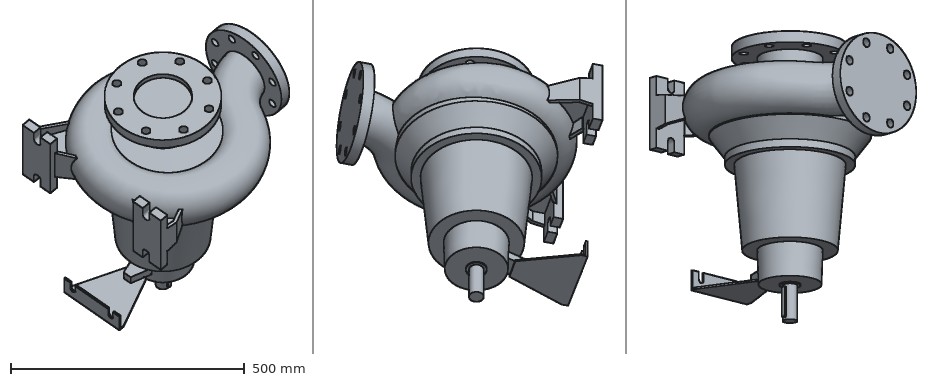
import cadquery as cq
import math


TOP_Z = 139.5
SHAFT_END_Z = -470.5
DISCHARGE_FACE_Y = 280.0
FOOT_FACE_Y = -225.0

FLANGE_THICKNESS = 25.0
BOLT_COUNT = 8
BOLT_HOLE_DIAMETER = 19.0
SUCTION_FLANGE_DIAMETER = 250.0
SUCTION_BOLT_CIRCLE = 210.0
SUCTION_BORE_DIAMETER = 125.0
SUCTION_BORE_DEPTH = FLANGE_THICKNESS / 2
DISCHARGE_FLANGE_DIAMETER = 220.0
DISCHARGE_BOLT_CIRCLE = 180.0

PIPE_RADIUS = 57.5
RING_RADIUS = 161.5
RING_OFFSET_X = 14.5
TONGUE_ARC_RADIUS = 151.0
TONGUE_PIPE_RADIUS = 46.0
TONGUE_END_ANGLE = 70

NECK_RADIUS = 70.0
SHOULDER_TOP_Z = 49.5
SHOULDER_EDGE_RADIUS = 146.5
SHOULDER_EDGE_Z = 33.0
CASING_RADIUS = 174.0
CASING_BOTTOM_Z = -60.0
COLLAR_RADIUS = 139.5
COLLAR_TOP_Z = -105.0
COLLAR_BOTTOM_Z = -122.5
HOUSING_TOP_RADIUS = 119.5
HOUSING_BOTTOM_RADIUS = 102.5
HOUSING_BOTTOM_Z = -313.0
BEARING_TOP_RADIUS = 70.0
BEARING_BOTTOM_RADIUS = 68.0
BEARING_BOTTOM_Z = -388.5
SEAL_RADIUS = 22.5
SEAL_BOTTOM_Z = -391.0
SHAFT_RADIUS = 16.0

KEY_WIDTH = 10.0
KEY_REACH = 20.0
KEY_TOP_Z = -396.0
KEY_BOTTOM_Z = -465.0

FOOT_OUTER_X = 200.5
FOOT_WIDTH = 80.5
FOOT_HEIGHT = 160.0
FOOT_THICKNESS = 21.5
FOOT_SLOT_X = 158.0
FOOT_SLOT_WIDTH = 19.0
FOOT_SLOT_DEPTH = 30.0

WEB_THICKNESS = 8.0
OUTER_WEB_BEND_Y = -175.0
OUTER_WEB_ANGLE = 26
OUTER_WEB_LENGTH = 79.0
INNER_WEB_ANGLE = 30
INNER_WEB_START_Y = -211.0
INNER_WEB_LENGTH = 58.0
WEB_HALF_HEIGHT = 37.0
WEB_TAPER_ANGLE = 10

SUPPORT_SHEET = 4.0
SUPPORT_WIDTH = 160.5
SUPPORT_TOP_Z = -325.0
SUPPORT_BOTTOM_Z = -369.5
SUPPORT_SLOT_X = 55.0
SUPPORT_SLOT_WIDTH = 14.0
SUPPORT_SLOT_DEPTH = 24.0
SUPPORT_CORNER_Y = -211.0
SUPPORT_TAIL_Y = -80.0
SUPPORT_TAIL_WIDTH = 50.0
LUG_HEIGHT = 19.5
LUG_ROOT_Y = -63.5
LUG_ROOT_WIDTH = 52.5
LUG_TIP_Y = -113.0
LUG_TIP_WIDTH = 20.0


def along(point, angle, distance):
    """Point reached from another by going a distance at an angle in degrees."""
    turn = math.radians(angle)
    return (point[0] + distance * math.cos(turn), point[1] + distance * math.sin(turn))


def prism(points, bottom_z, height):
    """Upright prism over an outline in X and Y."""
    return cq.Workplane("XY").workplane(offset=bottom_z).polyline(points).close().extrude(height)


def flange(plane, diameter, bolt_circle):
    """Bolted disc growing from a plane, its holes straddling the plane's axes."""
    disc = cq.Workplane(plane).circle(diameter / 2).extrude(FLANGE_THICKNESS)
    holes = (
        cq.Workplane(plane)
        .polarArray(bolt_circle / 2, 180 / BOLT_COUNT, 360, BOLT_COUNT)
        .circle(BOLT_HOLE_DIAMETER / 2)
        .extrude(FLANGE_THICKNESS)
    )
    return disc.cut(holes)


def rotating_body():
    """Neck, casing, bearing housing and shaft as one turned profile."""
    profile = [
        (0, TOP_Z - FLANGE_THICKNESS),
        (NECK_RADIUS, TOP_Z - FLANGE_THICKNESS),
        (NECK_RADIUS, SHOULDER_TOP_Z),
        (SHOULDER_EDGE_RADIUS, SHOULDER_EDGE_Z),
        (SHOULDER_EDGE_RADIUS, 0),
        (CASING_RADIUS, 0),
        (CASING_RADIUS, CASING_BOTTOM_Z),
        (COLLAR_RADIUS, COLLAR_TOP_Z),
        (COLLAR_RADIUS, COLLAR_BOTTOM_Z),
        (HOUSING_TOP_RADIUS, COLLAR_BOTTOM_Z),
        (HOUSING_BOTTOM_RADIUS, HOUSING_BOTTOM_Z),
        (BEARING_TOP_RADIUS, HOUSING_BOTTOM_Z),
        (BEARING_BOTTOM_RADIUS, BEARING_BOTTOM_Z),
        (SEAL_RADIUS, BEARING_BOTTOM_Z),
        (SEAL_RADIUS, SEAL_BOTTOM_Z),
        (SHAFT_RADIUS, SEAL_BOTTOM_Z),
        (SHAFT_RADIUS, SHAFT_END_Z),
        (0, SHAFT_END_Z),
    ]
    return cq.Workplane("XZ").polyline(profile).close().revolve(360, (0, 0, 0), (0, 1, 0))


def shaft_key():
    """Round-ended key along the +X side of the shaft."""
    length = KEY_TOP_Z - KEY_BOTTOM_Z
    return (
        cq.Workplane("YZ")
        .center(0, KEY_BOTTOM_Z + length / 2)
        .slot2D(length, KEY_WIDTH, 90)
        .extrude(KEY_REACH)
    )


def ring_and_discharge():
    """Constant pipe round the ring, then bent back to leave along +Y at X = 0."""
    center = (RING_OFFSET_X, 0)
    end_y = DISCHARGE_FACE_Y
    bend_radius = (RING_OFFSET_X**2 + end_y**2 - RING_RADIUS**2) / (2 * (RING_RADIUS + RING_OFFSET_X))
    bend_center = (bend_radius, end_y)
    leave_angle = math.degrees(math.atan2(end_y, bend_radius - RING_OFFSET_X))
    start = along(center, 180, RING_RADIUS)
    leave = along(center, leave_angle, RING_RADIUS)
    bend_middle = along(bend_center, 180 + leave_angle / 2, bend_radius)
    path = (
        cq.Workplane("XY")
        .moveTo(*start)
        .threePointArc(along(center, (leave_angle - 180) / 2, RING_RADIUS), leave)
        .threePointArc(bend_middle, (0, end_y))
    )
    section = cq.Workplane("XZ").center(start[0], 0).circle(PIPE_RADIUS)
    return section.sweep(path)


def tongue():
    """Narrowing pipe that carries the ring on from its -X end into the side of the discharge."""
    center = (RING_OFFSET_X - RING_RADIUS + TONGUE_ARC_RADIUS, 0)
    start = along(center, 180, TONGUE_ARC_RADIUS)
    middle = along(center, (180 + TONGUE_END_ANGLE) / 2, TONGUE_ARC_RADIUS)
    end = along(center, TONGUE_END_ANGLE, TONGUE_ARC_RADIUS)
    path = cq.Workplane("XY").moveTo(*start).threePointArc(middle, end)
    outward = along((0, 0), TONGUE_END_ANGLE, 1)
    forward = along((0, 0), TONGUE_END_ANGLE - 90, 1)
    start_plane = cq.Plane((*start, 0), (-1, 0, 0), (0, 1, 0))
    end_plane = cq.Plane((*end, 0), (*outward, 0), (*forward, 0))
    sections = [
        cq.Workplane(start_plane).circle(PIPE_RADIUS).wire().val(),
        cq.Workplane(end_plane).circle(TONGUE_PIPE_RADIUS).wire().val(),
    ]
    return cq.Workplane(cq.Solid.sweep_multi(sections, path.val()))


def end_slot(x, width, depth, edge_z, inward, thickness):
    """Round-ended slot through a plate on the foot face, running up (+1) or down (-1) from an edge."""
    radius = width / 2
    straight = depth - radius
    plane = cq.Workplane("XZ", origin=(x, FOOT_FACE_Y + thickness, edge_z))
    channel = plane.center(0, inward * straight / 2).rect(width, straight).extrude(thickness)
    return channel.union(plane.center(0, inward * straight).circle(radius).extrude(thickness))


def foot_plate():
    """Slotted plate of the foot on the +X side."""
    plate = (
        cq.Workplane("XY")
        .box(FOOT_WIDTH, FOOT_THICKNESS, FOOT_HEIGHT)
        .translate((FOOT_OUTER_X - FOOT_WIDTH / 2, FOOT_FACE_Y + FOOT_THICKNESS / 2, 0))
    )
    for inward in (1, -1):
        edge_z = -inward * FOOT_HEIGHT / 2
        slot = end_slot(FOOT_SLOT_X, FOOT_SLOT_WIDTH, FOOT_SLOT_DEPTH, edge_z, inward, FOOT_THICKNESS)
        plate = plate.cut(slot)
    return plate


def foot_bracket():
    """Two tapered webs and the middle sheet behind the foot on the +X side."""
    back_y = FOOT_FACE_Y + FOOT_THICKNESS
    inner_x = FOOT_OUTER_X - FOOT_WIDTH

    lean = 90 + OUTER_WEB_ANGLE
    bend = (FOOT_OUTER_X, OUTER_WEB_BEND_Y)
    bend_inside = (
        FOOT_OUTER_X - WEB_THICKNESS,
        OUTER_WEB_BEND_Y - WEB_THICKNESS * math.tan(math.radians(OUTER_WEB_ANGLE / 2)),
    )
    outer_tip = along(bend, lean, OUTER_WEB_LENGTH)
    outer_tip_inside = along(outer_tip, lean + 90, WEB_THICKNESS)
    outer_web = [
        (FOOT_OUTER_X, back_y),
        bend,
        outer_tip,
        outer_tip_inside,
        bend_inside,
        (FOOT_OUTER_X - WEB_THICKNESS, back_y),
    ]

    lean = 180 - INNER_WEB_ANGLE
    front = (inner_x, INNER_WEB_START_Y)
    front_tip = along(front, lean, INNER_WEB_LENGTH)
    back_tip = along(front_tip, lean - 90, WEB_THICKNESS)
    back = (inner_x, INNER_WEB_START_Y + WEB_THICKNESS / math.cos(math.radians(INNER_WEB_ANGLE)))
    inner_web = [front, front_tip, back_tip, back]

    bottom_z = -FOOT_HEIGHT / 2
    webs = prism(outer_web, bottom_z, FOOT_HEIGHT).union(prism(inner_web, bottom_z, FOOT_HEIGHT))

    slope = math.tan(math.radians(WEB_TAPER_ANGLE))
    end_half_height = WEB_HALF_HEIGHT - slope * abs(back_y)
    front_half_height = WEB_HALF_HEIGHT + slope * FOOT_THICKNESS
    taper = (
        cq.Workplane("YZ")
        .polyline(
            [
                (FOOT_FACE_Y, -front_half_height),
                (0, -end_half_height),
                (0, end_half_height),
                (FOOT_FACE_Y, front_half_height),
            ]
        )
        .close()
        .extrude(FOOT_OUTER_X)
    )
    middle_sheet = [
        (FOOT_OUTER_X - WEB_THICKNESS, back_y),
        bend_inside,
        outer_tip_inside,
        back_tip,
        back,
        (inner_x, back_y),
    ]
    return webs.intersect(taper).union(prism(middle_sheet, -WEB_THICKNESS / 2, WEB_THICKNESS))


def symmetric_trapezoid(y_a, width_a, y_b, width_b):
    """Outline symmetric about X = 0 between two widths."""
    return [(-width_a / 2, y_a), (width_a / 2, y_a), (width_b / 2, y_b), (-width_b / 2, y_b)]


def rear_support():
    """Lug on the bearing housing carrying a bent sheet with a slotted lip."""
    height = SUPPORT_TOP_Z - SUPPORT_BOTTOM_Z
    lip = (
        cq.Workplane("XY")
        .box(SUPPORT_WIDTH, SUPPORT_SHEET, height, centered=(True, False, False))
        .translate((0, FOOT_FACE_Y, SUPPORT_BOTTOM_Z))
    )
    for x in (SUPPORT_SLOT_X, -SUPPORT_SLOT_X):
        lip = lip.cut(end_slot(x, SUPPORT_SLOT_WIDTH, SUPPORT_SLOT_DEPTH, SUPPORT_TOP_Z, -1, SUPPORT_SHEET))
    edge = symmetric_trapezoid(FOOT_FACE_Y, SUPPORT_WIDTH, SUPPORT_CORNER_Y, SUPPORT_WIDTH)
    tail = symmetric_trapezoid(SUPPORT_CORNER_Y, SUPPORT_WIDTH, SUPPORT_TAIL_Y, SUPPORT_TAIL_WIDTH)
    lug = symmetric_trapezoid(LUG_ROOT_Y, LUG_ROOT_WIDTH, LUG_TIP_Y, LUG_TIP_WIDTH)
    return (
        lip.union(prism(edge, SUPPORT_BOTTOM_Z, SUPPORT_SHEET))
        .union(prism(tail, SUPPORT_BOTTOM_Z, SUPPORT_SHEET))
        .union(prism(lug, SUPPORT_BOTTOM_Z + SUPPORT_SHEET, LUG_HEIGHT))
    )


suction_plane = cq.Plane((0, 0, TOP_Z - FLANGE_THICKNESS), (1, 0, 0), (0, 0, 1))
discharge_plane = cq.Plane((0, DISCHARGE_FACE_Y - FLANGE_THICKNESS, 0), (1, 0, 0), (0, 1, 0))
suction_bore = (
    cq.Workplane("XY", origin=(0, 0, TOP_Z - SUCTION_BORE_DEPTH))
    .circle(SUCTION_BORE_DIAMETER / 2)
    .extrude(SUCTION_BORE_DEPTH)
)
foot = foot_plate().union(foot_bracket())

result = (
    rotating_body()
    .union(ring_and_discharge())
    .union(tongue())
    .union(flange(suction_plane, SUCTION_FLANGE_DIAMETER, SUCTION_BOLT_CIRCLE))
    .union(flange(discharge_plane, DISCHARGE_FLANGE_DIAMETER, DISCHARGE_BOLT_CIRCLE))
    .cut(suction_bore)
    .union(shaft_key())
    .union(foot)
    .union(foot.mirror("YZ"))
    .union(rear_support())
)